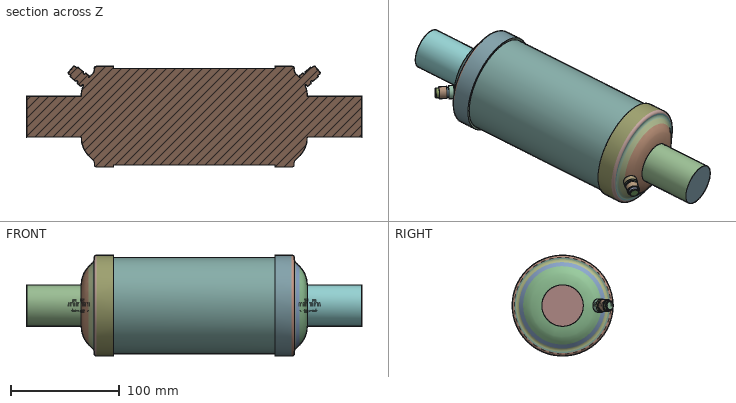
import math

import cadquery as cq

overall_length = 308.0
shell_radius = 44.45
pipe_radius = 19.05

collar_radius = 46.45
collar_inner_x = 74.0
collar_face_x = 92.1
collar_rim_fillet = 2.5

dome_tip_x = 104.0
dome_arc_radius = 24.0
dome_cone_angle = math.radians(45)
dome_root_fillet = 4.0

fitting_angle = math.radians(40)
fitting_tip_x = 113.4
fitting_tip_y = 43.64
fitting_tip_radius = 4.6
fitting_tip_length = 3.7
fitting_tip_chamfer = 0.8
fitting_steps = [
    (5.65, 7.0),
    (4.6, 1.8),
    (6.2, 4.8),
]
fitting_stem_radius = 4.0
fitting_stem_length = 4.0


def arc_point(center_x, center_r, radius, angle):
    """Point on a profile arc, with the angle measured from the +X axis."""
    return (center_x + radius * math.cos(angle), center_r + radius * math.sin(angle))


def make_shell():
    """Plain cylinder between the two end caps."""
    return cq.Workplane("YZ").circle(shell_radius).extrude(collar_inner_x, both=True)


def make_cap():
    """Collar, dome and pipe stub at the +X end, turned in one piece."""
    dome_center_x = dome_tip_x - dome_arc_radius
    dome_arc = (dome_center_x, pipe_radius, dome_arc_radius)
    cone_start_x, cone_start_r = arc_point(*dome_arc, dome_cone_angle)
    cone_foot_r = cone_start_r + (cone_start_x - collar_face_x) / math.tan(dome_cone_angle)
    dome_root_radius = cone_foot_r + dome_root_fillet * math.tan(dome_cone_angle / 2)
    root_center_x = collar_face_x + dome_root_fillet
    root_arc = (root_center_x, dome_root_radius, dome_root_fillet)
    rim_center_x = collar_face_x - collar_rim_fillet
    rim_center_r = collar_radius - collar_rim_fillet
    rim_arc = (rim_center_x, rim_center_r, collar_rim_fillet)

    return (
        cq.Workplane("XY")
        .moveTo(collar_inner_x, 0)
        .lineTo(overall_length / 2, 0)
        .lineTo(overall_length / 2, pipe_radius)
        .lineTo(dome_tip_x, pipe_radius)
        .threePointArc(arc_point(*dome_arc, dome_cone_angle / 2), (cone_start_x, cone_start_r))
        .lineTo(*arc_point(*root_arc, math.pi + dome_cone_angle))
        .threePointArc(
            arc_point(*root_arc, math.pi + dome_cone_angle / 2),
            (collar_face_x, dome_root_radius),
        )
        .lineTo(collar_face_x, rim_center_r)
        .threePointArc(arc_point(*rim_arc, math.pi / 4), (rim_center_x, collar_radius))
        .lineTo(collar_inner_x, collar_radius)
        .close()
        .revolve(360, (0, 0, 0), (1, 0, 0))
    )


def make_fitting():
    """Stepped round fitting on the +X dome, built from its tip inwards."""
    inward = (-math.cos(fitting_angle), -math.sin(fitting_angle), 0)
    axis_plane = cq.Plane(origin=(fitting_tip_x, fitting_tip_y, 0), xDir=(0, 0, 1), normal=inward)

    fitting = (
        cq.Workplane(axis_plane)
        .circle(fitting_tip_radius)
        .extrude(fitting_tip_length)
        .faces(cq.NearestToPointSelector((fitting_tip_x, fitting_tip_y, 0)))
        .chamfer(fitting_tip_chamfer)
    )
    depth = fitting_tip_length
    for radius, length in fitting_steps:
        step = cq.Workplane(axis_plane).workplane(offset=depth).circle(radius).extrude(length)
        fitting = fitting.union(step)
        depth += length

    stem = (
        cq.Workplane(axis_plane)
        .workplane(offset=depth)
        .circle(fitting_stem_radius)
        .extrude(fitting_stem_length)
    )
    return fitting.union(stem)


end_piece = make_cap().union(make_fitting())
result = make_shell().union(end_piece).union(end_piece.mirror("YZ"))